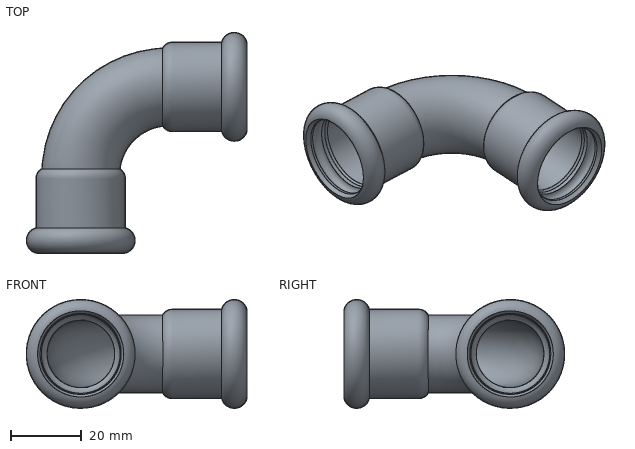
import cadquery as cq

overall_length = 62.4
bead_diameter = 30.75
mouth_to_axis = overall_length - bead_diameter / 2

bead_width = 7.3
shoulder_start = 21.1
shoulder_length = 2.8
socket_length = shoulder_start + shoulder_length
bend_overlap = 1.75
bend_radius = mouth_to_axis - socket_length + bend_overlap

bead_radius = bead_diameter / 2
body_radius = 25.3 / 2
mouth_radius = 24.35 / 2
seal_land_radius = 22.9 / 2
bore_radius = 22.3 / 2
pipe_radius = 22.0 / 2
pipe_bore_radius = 19.05 / 2

groove_width = 3.4
mouth_taper_length = 1.25
groove_start = (bead_width - groove_width) / 2
groove_end = groove_start + groove_width
groove_radius = seal_land_radius + groove_width / 2
bore_taper_length = 0.75


def along(depth):
    """Y position at a depth measured from the mouth."""
    return depth - mouth_to_axis


def add_shoulder(profile, start_radius, end_radius):
    """Arc inward from the socket wall, tangent to the axis direction at its start."""
    start = (start_radius, along(shoulder_start))
    end = (end_radius, along(socket_length))
    return profile.lineTo(*start).tangentArcPoint(end, relative=False)


def revolve_profile(profile):
    return profile.close().revolve(360, (0, 0, 0), (0, 1, 0))


def bead():
    profile = (
        cq.Workplane("XY")
        .moveTo(0, along(0))
        .lineTo(mouth_radius, along(0))
        .threePointArc((bead_radius, along(bead_width / 2)), (mouth_radius, along(bead_width)))
        .lineTo(0, along(bead_width))
    )
    return revolve_profile(profile)


def socket_body():
    profile = cq.Workplane("XY").moveTo(0, along(bead_width / 2)).lineTo(body_radius, along(bead_width / 2))
    profile = add_shoulder(profile, body_radius, pipe_radius)
    return revolve_profile(profile.lineTo(0, along(socket_length)))


def socket_inside():
    profile = (
        cq.Workplane("XY")
        .moveTo(0, along(0))
        .lineTo(mouth_radius, along(0))
        .lineTo(seal_land_radius, along(mouth_taper_length))
        .lineTo(seal_land_radius, along(groove_start))
        .threePointArc(
            (groove_radius, along(bead_width / 2)),
            (seal_land_radius, along(groove_end)),
        )
        .lineTo(seal_land_radius, along(bead_width - bore_taper_length))
        .lineTo(bore_radius, along(bead_width))
    )
    profile = add_shoulder(profile, bore_radius, pipe_bore_radius)
    return revolve_profile(profile.lineTo(0, along(socket_length)))


def bend(radius):
    """Quarter torus running from the -Y socket to the +X socket."""
    return (
        cq.Workplane("XZ", origin=(0, -bend_radius, 0))
        .circle(radius)
        .revolve(90, (bend_radius, 0, 0), (bend_radius, -1, 0))
    )


def both_ends(socket):
    return socket, socket.rotate((0, 0, 0), (0, 0, 1), 90)


result = bend(pipe_radius)
for socket in both_ends(bead().union(socket_body())):
    result = result.union(socket)

result = result.cut(bend(pipe_bore_radius))
for cavity in both_ends(socket_inside()):
    result = result.cut(cavity)